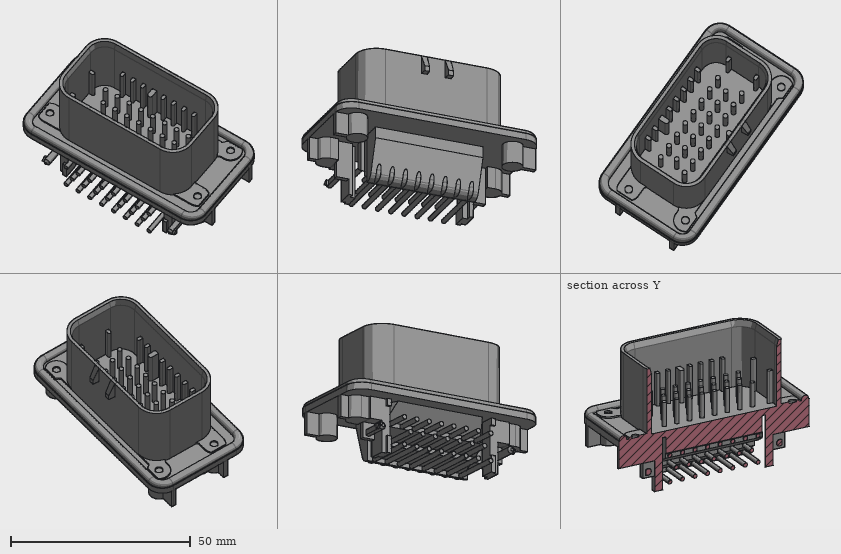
import cadquery as cq
import math

flange_length = 60.8
flange_width = 32.1
flange_corner = 5.05
flange_top = 2.0
bead_radius = 1.2
bead_inset = 1.4
bead_height = 2.2

shroud_length = 43.4
shroud_width = 23.6
shroud_corner = 6.25
shroud_top = 22.0
wall = 1.5
lead_in_width = 0.55
lead_in_depth = 1.9

rear_hole = (-23.6, 10.8)
front_hole = (-25.05, -7.3)
hole_radius = 1.1
pad_radius = 3.3
pad_height = 0.5
rear_pad_margin = 2.2
front_pad_margin = 2.1
pad_flare = 0.5
post_radius = 3.0
post_depth = 6.45
post_web = 1.45

hook_spacing = 7.25
hook_reach = 2.0
hook_height = 5.4
hook_lip = 1.5
hook_base_width = 1.8
hook_tip_width = 1.45

pin_radius = 0.65
pin_pitch = 4.0
pins_per_row = (8, 7, 8)
pin_top = 9.3
pin_front = -15.25
pin_bend = 1.95
lowest_pin = -13.8

rib_top = 11.85
rib_width = 1.05
rib_reach = 1.6
rib_pitch = 3.45
ribs_per_side = 8
wide_rib_width = 1.5
wide_rib_reach = 2.85
rear_wide_rib = 3
front_wide_rib = 5
end_rib_places = (5.15, -4.2)

block_half_length = 16.3
block_waist = 15.25
block_rear = 7.0
block_rear_depth = 3.35
block_rear_lean = 3.8
block_rear_round = 2.6
block_front = -11.25
block_front_half_length = 13.75
block_taper_start = -5.2
lowest_step = 0.85

arm_outer = -18.9
arm_rear = -5.65
arm_front = -11.0
arm_bottom = -15.8
notch_width = 1.45
ear_outer = -22.6
ear_front = -7.2
ear_bottom = -11.05
lug_width = 1.3
lug_reach = 0.8
lug_top_depth = 2.0
lug_bottom_height = 5.0
peg_x = -21.0
peg_z = -9.35
peg_radius = 1.05
peg_front = -15.2
peg_tip = 0.6
peg_flat_x = -21.7
barb_outer = -22.3
barb_height = 1.6
barb_rear = -13.5
barb_straight = 0.5
barb_front = -14.95
barb_nose = 0.25


def box(x0, x1, y0, y1, z0, z1):
    return cq.Workplane("XY").box(x1 - x0, y1 - y0, z1 - z0, centered=False).translate((x0, y0, z0))


def rounded_block(length, width, corner, z0, z1):
    return (
        cq.Workplane("XY").workplane(offset=z0).rect(length, width).extrude(z1 - z0)
        .edges("|Z").fillet(corner)
    )


def mirrored_pair(left):
    return left.union(left.mirror("YZ"))


def post_cylinder(center, radius, z0, z1):
    return cq.Workplane("XY").workplane(offset=z0).center(*center).circle(radius).extrude(z1 - z0)


def flange():
    plate = rounded_block(flange_length, flange_width, flange_corner, 0, flange_top)
    path_length = flange_length - 2 * bead_inset
    path_width = flange_width - 2 * bead_inset
    ring = rounded_block(path_length, path_width, flange_corner - bead_inset, bead_height, shroud_top)
    path = ring.faces("<Z").wires()
    bead = (
        cq.Workplane("YZ").center(path_width / 2, bead_height).circle(bead_radius).sweep(path)
    )
    return plate.union(bead)


def pad(center, rear_edge, front_edge, outer_edge, outline):
    """A pad rounded about its screw hole, cut straight at its edges, reaching into the shroud."""
    top = flange_top + pad_height
    limits = box(outer_edge, 0, front_edge, rear_edge, 0, top)
    bridge = cq.Workplane("XY").polyline(outline).close().extrude(top)
    body = post_cylinder(center, pad_radius, 0, top).intersect(limits).union(bridge)
    return body.cut(post_cylinder(center, hole_radius, flange_top, top))


def screw_pads():
    side = -shroud_length / 2
    inner = side + shroud_corner
    rear = shroud_width / 2

    x, y = rear_hole
    rear_edge = y + rear_pad_margin
    front_edge = y - pad_radius
    slope = rear_edge - rear
    slope_start = x + rear_pad_margin
    rear_outline = [
        (x, rear_edge),
        (slope_start, rear_edge),
        (slope_start + slope, rear),
        (inner, rear),
        (inner, front_edge - pad_flare),
        (side + pad_flare / 2, front_edge - pad_flare),
        (side - pad_flare, front_edge),
        (x, front_edge),
    ]
    pads = pad(rear_hole, rear_edge, front_edge, x - pad_radius, rear_outline)

    x, y = front_hole
    rear_edge = y + pad_radius
    front_edge = y - pad_radius
    front_outline = [
        (x, front_edge),
        (inner, front_edge),
        (inner, rear_edge + pad_flare),
        (side, rear_edge + pad_flare),
        (side - pad_flare, rear_edge),
        (x, rear_edge),
    ]
    pads = pads.union(pad(front_hole, rear_edge, front_edge, x - front_pad_margin, front_outline))
    return mirrored_pair(pads)


def screw_posts():
    posts = None
    for center in (rear_hole, front_hole):
        x, y = center
        web = box(-flange_length / 2, x, y - post_web / 2, y + post_web / 2, -post_depth, 0)
        web = web.union(post_cylinder(center, post_radius, -post_depth, 0))
        posts = web if posts is None else posts.union(web)
    x, y = front_hole
    link = box(x, ear_outer, y - post_radius, y + post_radius, -post_depth, 0)
    outline = rounded_block(flange_length, flange_width, flange_corner, -post_depth, 0)
    return mirrored_pair(posts.union(link).intersect(outline))


def cavity():
    length = shroud_length - 2 * wall
    width = shroud_width - 2 * wall
    corner = shroud_corner - wall
    well = rounded_block(length, width, corner, flange_top, shroud_top)
    lead_in = (
        cq.Workplane("XY").workplane(offset=shroud_top - lead_in_depth)
        .sketch().rect(length, width).vertices().fillet(corner).finalize()
        .extrude(lead_in_depth, taper=-math.degrees(math.atan(lead_in_width / lead_in_depth)))
    )
    return well.union(lead_in)


def hooks():
    rear = shroud_width / 2
    tip = rear + hook_reach
    bottom = shroud_top - hook_height
    profile = [
        (rear - wall / 2, shroud_top),
        (rear, shroud_top),
        (tip, bottom + hook_lip),
        (tip, bottom),
        (rear - wall / 2, bottom),
    ]
    plan = [
        (-hook_base_width / 2, rear - wall / 2),
        (-hook_base_width / 2, rear),
        (-hook_tip_width / 2, tip),
        (hook_tip_width / 2, tip),
        (hook_base_width / 2, rear),
        (hook_base_width / 2, rear - wall / 2),
    ]
    side = cq.Workplane("YZ").polyline(profile).close().extrude(hook_base_width / 2, both=True)
    hook = side.intersect(cq.Workplane("XY").polyline(plan).close().extrude(shroud_top))
    return mirrored_pair(hook.translate((-hook_spacing / 2, 0, 0)))


def rib(width, reach):
    """A round-nosed rib reaching towards -Y from a wall whose inner face is at Y = 0."""
    nose = width / 2 - reach
    return (
        cq.Workplane("XY").workplane(offset=flange_top)
        .moveTo(-width / 2, wall / 2)
        .lineTo(-width / 2, nose)
        .threePointArc((0, -reach), (width / 2, nose))
        .lineTo(width / 2, wall / 2)
        .close()
        .extrude(rib_top - flange_top)
    )


def key_ribs():
    rear = shroud_width / 2 - wall
    end = shroud_length / 2 - wall
    narrow = rib(rib_width, rib_reach)
    wide = rib(wide_rib_width, wide_rib_reach)
    ribs = []
    for i in range(ribs_per_side):
        x = (i - (ribs_per_side - 1) / 2) * rib_pitch
        rear_rib = wide if i == rear_wide_rib else narrow
        front_rib = wide if i == front_wide_rib else narrow
        ribs.append(rear_rib.translate((x, rear, 0)))
        ribs.append(front_rib.rotate((0, 0, 0), (0, 0, 1), 180).translate((x, -rear, 0)))
    for y in end_rib_places:
        for side in (-1, 1):
            turned = narrow.rotate((0, 0, 0), (0, 0, 1), -90 * side)
            ribs.append(turned.translate((side * end, y, 0)))
    return ribs


def pin_row_y(row):
    return (1 - row) * pin_pitch


def pin_row_z(row):
    return lowest_pin + row * pin_pitch


def pins():
    diagonal = pin_bend * (1 - math.sqrt(0.5))
    all_pins = []
    for row, count in enumerate(pins_per_row):
        y = pin_row_y(row)
        z = pin_row_z(row)
        path = (
            cq.Workplane("YZ")
            .moveTo(y, pin_top)
            .lineTo(y, z + pin_bend)
            .threePointArc((y - diagonal, z + diagonal), (y - pin_bend, z))
            .lineTo(pin_front, z)
        )
        pin = cq.Workplane("XY", origin=(0, y, pin_top)).circle(pin_radius).sweep(path)
        for i in range(count):
            x = (i - (count - 1) / 2) * pin_pitch
            all_pins.append(pin.translate((x, 0, 0)))
    return all_pins


def contact_block():
    bottom = lowest_pin - pin_radius
    profile = [
        (block_rear, 0),
        (block_rear, -block_rear_depth),
        (block_rear - block_rear_lean, bottom),
    ]
    for row in range(len(pins_per_row)):
        step = lowest_step - row * pin_pitch
        profile.append((step, pin_row_z(row) - pin_radius))
        profile.append((step, pin_row_z(row) + pin_radius))
    profile.append((block_front, 0))
    body = cq.Workplane("YZ").polyline(profile).close().extrude(block_half_length, both=True)
    body = body.faces("<Z").edges(">Y").fillet(block_rear_round)

    waist_front = lowest_step - pin_pitch
    plan = [
        (0, block_rear),
        (-block_half_length, block_rear),
        (-block_half_length, lowest_step),
        (-block_waist, lowest_step),
        (-block_waist, waist_front),
        (-block_half_length, waist_front),
        (-block_half_length, block_taper_start),
        (-block_front_half_length, block_front),
        (0, block_front),
    ]
    half = cq.Workplane("XY").polyline(plan).close().extrude(bottom)
    return body.intersect(mirrored_pair(half))


def peg():
    """A round peg, flattened on its outer side, with a wedge-nosed barb at its tip."""
    shank = cq.Workplane("XZ", origin=(peg_x, ear_front, peg_z)).circle(peg_radius)
    shank = shank.extrude(ear_front - peg_front).faces("<Y").chamfer(peg_tip)
    outer_side = box(
        barb_outer, peg_flat_x, peg_front, ear_front, peg_z - peg_radius, peg_z + peg_radius
    )
    barb_profile = [
        (barb_rear, peg_z + barb_height / 2),
        (barb_rear - barb_straight, peg_z + barb_height / 2),
        (barb_front, peg_z + barb_nose / 2),
        (barb_front, peg_z - barb_nose / 2),
        (barb_rear - barb_straight, peg_z - barb_height / 2),
        (barb_rear, peg_z - barb_height / 2),
    ]
    barb = cq.Workplane("YZ", origin=(barb_outer, 0, 0)).polyline(barb_profile).close()
    barb = barb.extrude(peg_x - barb_outer)
    return shank.cut(outer_side).union(barb)


def side_arms():
    inner = -block_half_length
    lug_outer = inner - lug_width
    lug_front = arm_front - lug_reach
    arm = box(arm_outer, inner, arm_front, arm_rear, arm_bottom, 0)
    arm = arm.cut(box(inner - notch_width, inner, ear_front, arm_rear, arm_bottom, 0))
    arm = arm.union(box(ear_outer, arm_outer, arm_front, arm_rear, -post_depth, 0))
    arm = arm.union(box(ear_outer, arm_outer, ear_front, arm_rear, ear_bottom, 0))
    arm = arm.union(box(lug_outer, inner, lug_front, arm_front, -lug_top_depth, 0))
    arm = arm.union(box(lug_outer, inner, lug_front, arm_front, arm_bottom, arm_bottom + lug_bottom_height))
    return mirrored_pair(arm.union(peg()))


shroud = rounded_block(shroud_length, shroud_width, shroud_corner, 0, shroud_top)
housing = flange().union(shroud).union(screw_pads()).cut(cavity())
features = [hooks(), contact_block(), screw_posts(), side_arms(), *key_ribs(), *pins()]
result = cq.Workplane(housing.val().fuse(*[feature.val() for feature in features]))